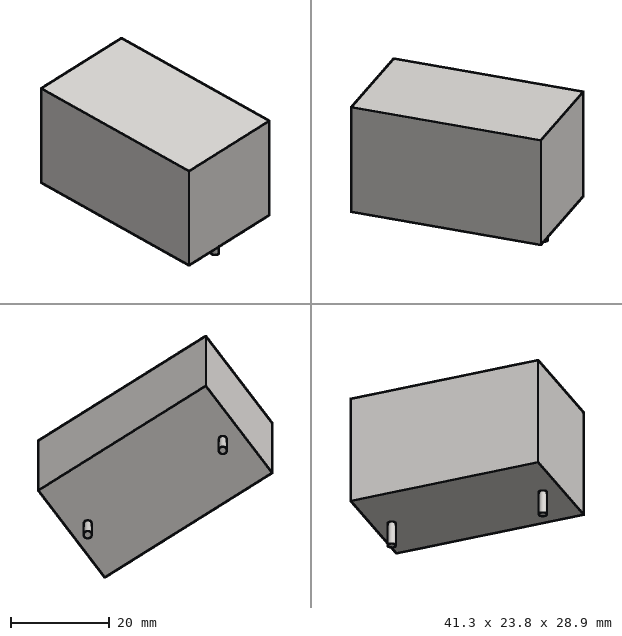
import cadquery as cq

housing_length = 41.3
housing_width = 23.75
housing_height = 23.75

pin_diameter = 1.65
pin_length = 5.1
pin_spacing = 33.27


def make_housing():
    """Plain block whose underside lies at Z = 0."""
    return cq.Workplane("XY").box(
        housing_length, housing_width, housing_height, centered=(True, True, False)
    )


def make_pin(x):
    """Round pin that hangs from the underside of the housing."""
    return cq.Workplane("XY").center(x, 0).circle(pin_diameter / 2).extrude(-pin_length)


housing = make_housing()
pins = [make_pin(side * pin_spacing / 2) for side in (-1, 1)]

result = cq.Compound.makeCompound([housing.val(), *[pin.val() for pin in pins]])